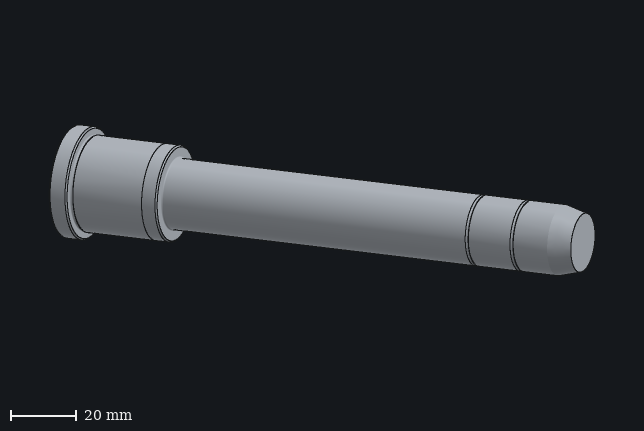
import cadquery as cq
import math

total_length = 171.0

head_diameter = 35.0
head_length = 6.0
head_chamfer = 0.5

shoulder_diameter = 30.0
shoulder_end = 35.0
lead_in_length = 5.0
lead_in_diameter = 29.98
shoulder_chamfer = 0.5

shank_diameter = 22.0
root_fillet_radius = 0.5

groove_radius = 0.5
head_groove_center = head_length + groove_radius
shank_groove_centers = (137.0, 152.0)

tip_length = 7.0
tip_half_angle = 15.0

head_radius = head_diameter / 2
shoulder_radius = shoulder_diameter / 2
lead_in_radius = lead_in_diameter / 2
lead_in_start = shoulder_end - lead_in_length
shank_radius = shank_diameter / 2
tip_start = total_length - tip_length
tip_radius = shank_radius - tip_length * math.tan(math.radians(tip_half_angle))


def add_groove(profile, center, surface_radius):
    """Run along the surface to a half-round groove and around it."""
    return profile.lineTo(center - groove_radius, surface_radius).threePointArc(
        (center, surface_radius - groove_radius),
        (center + groove_radius, surface_radius),
    )


def add_head(profile):
    """Chamfered head, from the axis at X = 0 to the chamfer on its rear face."""
    return (
        profile.lineTo(0, head_radius - head_chamfer)
        .lineTo(head_chamfer, head_radius)
        .lineTo(head_length - head_chamfer, head_radius)
        .lineTo(head_length, head_radius - head_chamfer)
    )


def add_shoulder(profile):
    """Groove behind the head, fitted shoulder and relieved, chamfered lead-in."""
    return (
        add_groove(profile, head_groove_center, shoulder_radius)
        .lineTo(lead_in_start, shoulder_radius)
        .lineTo(lead_in_start, lead_in_radius)
        .lineTo(shoulder_end - shoulder_chamfer, lead_in_radius)
        .lineTo(shoulder_end, lead_in_radius - shoulder_chamfer)
    )


def add_shank(profile):
    """Root fillet and straight shank with its half-round grooves."""
    fillet_sag = root_fillet_radius * (1 - math.sqrt(0.5))
    profile = profile.lineTo(shoulder_end, shank_radius + root_fillet_radius).threePointArc(
        (shoulder_end + fillet_sag, shank_radius + fillet_sag),
        (shoulder_end + root_fillet_radius, shank_radius),
    )
    for center in shank_groove_centers:
        profile = add_groove(profile, center, shank_radius)
    return profile.lineTo(tip_start, shank_radius)


def add_tip(profile):
    """Conical tip, ending on the axis."""
    return profile.lineTo(total_length, tip_radius).lineTo(total_length, 0)


outline = cq.Workplane("XY").moveTo(0, 0)
for add_section in (add_head, add_shoulder, add_shank, add_tip):
    outline = add_section(outline)

result = outline.close().revolve(360, (0, 0, 0), (1, 0, 0))